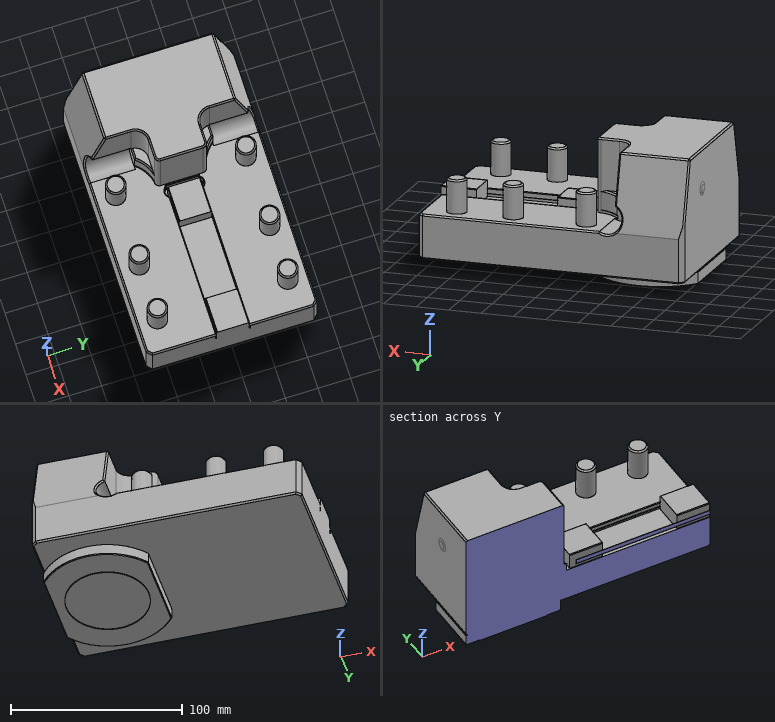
import cadquery as cq
import math

length = 164.0
width = 105.0
height = 73.0
deck_z = 27.3
corner_cut = 3.0
bevel = 1.0
fine_bevel = 0.5
margin = 1.6

head_rear_x = 43.6
nose_tip_x = 66.0
nose_half_width = 16.0
nose_root_radius = 8.0
nose_tip_radius = 3.0
taper_angle = 15.0

ledge_top_z = 41.3
ledge_end_x = 50.5
ledge_mid_x = 56.6
ledge_mid_y = 18.6

groove_radius = 8.5
groove_x = 47.4
groove_z = 34.5

keyway_start_x = 67.0
keyway_width = 20.0
keyway_floor_z = 22.0
mouth_angle = 45.0
relief_radius = 4.0
relief_y = 7.9
key_length = 22.0
key_top_z = 32.4
first_key_x = 70.0

undercut_depth = 0.7
undercut_height = 1.8

pin_diameter = 12.0
pin_top_z = 48.0
pin_xs = (64.0, 109.1, 144.0)
pin_spacing_y = 80.0

pad_length = 63.7
pad_radius = 40.6
pad_height = 7.4
disc_diameter = 50.0
disc_height = 0.5

button_y = 17.8
button_z = 49.0
button_base_diameter = 8.0
button_top_diameter = 5.0
button_height = 0.5

half_width = width / 2
keyway_half_width = keyway_width / 2
ledge_end_y = nose_half_width + nose_root_radius


def make_box(x_min, x_max, y_half, z_min, z_max):
    """Box centred on Y."""
    box = cq.Workplane("XY").box(x_max - x_min, 2 * y_half, z_max - z_min, centered=(False, True, False))
    return box.translate((x_min, 0, z_min))


def make_head():
    """Head above the deck level, with straight edges apart from the rounded nose."""
    wide = make_box(0, head_rear_x, half_width, deck_z, height)
    nose = make_box(0, nose_tip_x, nose_half_width, deck_z, height)
    nose = nose.edges("|Z and >X").fillet(nose_tip_radius)
    root_zone = cq.selectors.BoxSelector(
        (head_rear_x - margin, -nose_half_width - margin, deck_z),
        (head_rear_x + margin, nose_half_width + margin, height),
    )
    head = wide.union(nose).edges(root_zone).edges("|Z").fillet(nose_root_radius)

    top_half_width = half_width - (height - deck_z) * math.tan(math.radians(taper_angle))
    taper_points = [
        (-half_width, deck_z),
        (half_width, deck_z),
        (top_half_width, height),
        (-top_half_width, height),
    ]
    taper = cq.Workplane("YZ").polyline(taper_points).close().extrude(length)
    return head.intersect(taper)


def make_grooves():
    groove = (
        cq.Workplane("XZ", origin=(groove_x, -ledge_end_y, groove_z))
        .circle(groove_radius)
        .extrude(half_width)
    )
    return groove.union(groove.mirror("XZ"))


def make_ledge_layer(bottom_z, top_z, setback):
    """One layer of the -Y ledge, with its curved wall moved by the setback towards the head."""
    curve_end_x = nose_tip_x - nose_tip_radius - setback
    return (
        cq.Workplane("XY", origin=(0, 0, bottom_z))
        .moveTo(head_rear_x - bevel, -ledge_end_y)
        .lineTo(ledge_end_x - setback, -ledge_end_y)
        .threePointArc((ledge_mid_x - setback, -ledge_mid_y), (curve_end_x, -nose_half_width))
        .lineTo(curve_end_x, 0)
        .lineTo(head_rear_x - bevel, 0)
        .close()
        .extrude(top_z - bottom_z)
    )


def make_ledges():
    """Ledges on both sides of the nose, bevelled on top and undercut at the foot."""
    undercut_top_z = deck_z + undercut_height
    ledge = make_ledge_layer(undercut_top_z, ledge_top_z, 0)
    exposed_zone = cq.selectors.BoxSelector(
        (head_rear_x, -ledge_end_y - margin, ledge_top_z - margin),
        (nose_tip_x, -nose_half_width, ledge_top_z + margin),
    )
    ledge = ledge.edges(exposed_zone).edges(">Z").chamfer(bevel)
    ledge = ledge.union(make_ledge_layer(deck_z, undercut_top_z, undercut_depth))
    return ledge.union(ledge.mirror("XZ"))


def upper_side_edges(block):
    """Sloping, elliptical and circular edges on the two sides of the block, above its bottom."""
    edges = cq.Workplane()
    inner_y = ledge_end_y + margin
    outer_y = half_width + margin
    for y_min, y_max in ((-outer_y, -inner_y), (inner_y, outer_y)):
        side = cq.selectors.BoxSelector((-margin, y_min, deck_z / 2), (length + margin, y_max, height))
        edges = edges.add(block.edges(side).edges("not(|X or |Y or |Z)"))
    return edges


def deck_edges(block):
    """Long sides and rear end of the deck."""
    edges = block.faces(">X").edges(">Z")
    for side in (-half_width, half_width):
        deck_side = cq.selectors.BoxSelector(
            (groove_x, side - margin, deck_z - margin),
            (length, side + margin, deck_z + margin),
        )
        edges = edges.add(block.edges(deck_side).edges("|X"))
    return edges


def make_block():
    base = make_box(0, length, half_width, 0, deck_z).edges("|Z and >X").chamfer(corner_cut)
    block = base.union(make_head()).cut(make_grooves())

    bevelled = block.faces(">Z").edges().add(upper_side_edges(block)).add(deck_edges(block))
    block = block.newObject(bevelled.vals()).chamfer(bevel)

    front_corners = make_box(0, length, half_width, 0, height).edges("|Z and <X").chamfer(corner_cut)
    block = block.intersect(front_corners).faces("<Z").chamfer(bevel)
    return block.union(make_ledges())


def make_keyway():
    """Open-ended slot with round reliefs at its closed corners, a bevelled mouth and undercut walls."""
    depth = deck_z - keyway_floor_z
    slot = make_box(keyway_start_x, length + bevel, keyway_half_width, keyway_floor_z, deck_z)
    relief_x = keyway_start_x + relief_radius
    reliefs = (
        cq.Workplane("XY", origin=(0, 0, keyway_floor_z))
        .pushPoints([(relief_x, -relief_y), (relief_x, relief_y)])
        .circle(relief_radius)
        .extrude(depth)
    )
    keyway = slot.union(reliefs)
    mouth = (
        keyway.faces(">Z")
        .wires()
        .toPending()
        .workplane()
        .offset2D(fine_bevel)
        .extrude(-fine_bevel, combine=False, taper=mouth_angle)
    )
    undercut = make_box(
        relief_x,
        length + bevel,
        keyway_half_width + undercut_depth,
        keyway_floor_z,
        keyway_floor_z + undercut_height,
    )
    return keyway.union(mouth).union(undercut)


def make_key(start_x):
    key = make_box(start_x, start_x + key_length, keyway_half_width, keyway_floor_z, key_top_z)
    return key.edges("|X and >Z").chamfer(fine_bevel)


def make_pins():
    pin_points = [(x, side * pin_spacing_y / 2) for x in pin_xs for side in (-1, 1)]
    pins = (
        cq.Workplane("XY", origin=(0, 0, deck_z))
        .pushPoints(pin_points)
        .circle(pin_diameter / 2)
        .extrude(pin_top_z - deck_z)
    )
    return pins.faces(">Z").chamfer(bevel)


def make_pad():
    """Disc flattened at both ends of its length, with a thin round disc below it."""
    centre_x = pad_length / 2
    pad = cq.Workplane("XY").center(centre_x, 0).circle(pad_radius).extrude(-pad_height)
    pad = pad.intersect(make_box(0, pad_length, pad_radius, -pad_height, 0))
    disc = (
        cq.Workplane("XY", origin=(centre_x, 0, -pad_height))
        .circle(disc_diameter / 2)
        .extrude(-disc_height)
    )
    return pad.faces("<Z").chamfer(fine_bevel).union(disc)


def make_button():
    """Shallow cone standing out of the front face."""
    return (
        cq.Workplane("YZ", origin=(0, button_y, button_z))
        .circle(button_base_diameter / 2)
        .workplane(offset=-button_height)
        .circle(button_top_diameter / 2)
        .loft()
    )


result = make_block().cut(make_keyway())
for key_x in (first_key_x, length - key_length):
    result = result.union(make_key(key_x))
for addition in (make_pins(), make_pad(), make_button()):
    result = result.union(addition)